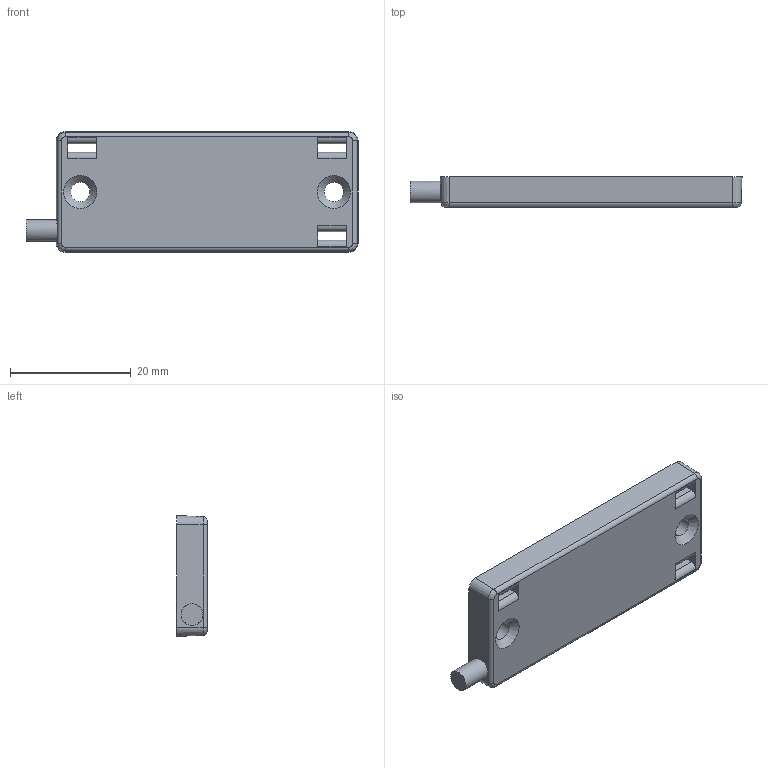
import cadquery as cq

BODY_LENGTH = 50.0
BODY_HEIGHT = 20.0
BODY_DEPTH = 5.0
DRAFT_ANGLE = 2.0
CORNER_RADIUS = 1.5
FRONT_FILLET = 0.7

HOLE_SPACING = 42.0
HOLE_DIAMETER = 3.2
SINK_DIAMETER = 5.5
SINK_ANGLE = 90.0

SLOT_WIDTH = 4.8
SLOT_HEIGHT = 1.45
SLOT_LIP_RADIUS = 1.0
SLOT_X = 20.7
SLOT_Z = 7.28
SLOT_CENTRES = [(-SLOT_X, SLOT_Z), (SLOT_X, SLOT_Z), (SLOT_X, -SLOT_Z)]

CABLE_DIAMETER = 3.6
CABLE_LENGTH = 5.0
CABLE_Y = BODY_DEPTH / 2
CABLE_Z = -6.4
CABLE_EMBED = 1.0


def make_body():
    """Drafted plate, largest at the back, with a rounded front rim."""
    back_outline = cq.Sketch().rect(BODY_LENGTH, BODY_HEIGHT).vertices().fillet(CORNER_RADIUS)
    plate = (
        cq.Workplane("XZ", origin=(0, BODY_DEPTH, 0))
        .placeSketch(back_outline)
        .extrude(BODY_DEPTH, taper=DRAFT_ANGLE)
    )
    return plate.faces("<Y").edges().fillet(FRONT_FILLET)


def cut_mounting_holes(body):
    """Countersunk through holes near both ends, on the centre line."""
    return (
        body.faces("<Y")
        .workplane(origin=(0, 0, 0))
        .pushPoints([(-HOLE_SPACING / 2, 0), (HOLE_SPACING / 2, 0)])
        .cskHole(HOLE_DIAMETER, SINK_DIAMETER, SINK_ANGLE)
    )


def make_slot_cutter(x, z):
    """Slot through the full depth whose mouth flares out along two arcs."""
    half = SLOT_HEIGHT / 2
    mouth_half = half + SLOT_LIP_RADIUS
    return (
        cq.Workplane("YZ", origin=(x - SLOT_WIDTH / 2, 0, z))
        .moveTo(0, -mouth_half)
        .radiusArc((SLOT_LIP_RADIUS, -half), SLOT_LIP_RADIUS)
        .lineTo(BODY_DEPTH, -half)
        .lineTo(BODY_DEPTH, half)
        .lineTo(SLOT_LIP_RADIUS, half)
        .radiusArc((0, mouth_half), SLOT_LIP_RADIUS)
        .close()
        .extrude(SLOT_WIDTH)
    )


def make_cable():
    """Round stub leaving the -X end, rooted inside the body."""
    return (
        cq.Workplane("YZ", origin=(-BODY_LENGTH / 2 - CABLE_LENGTH, CABLE_Y, CABLE_Z))
        .circle(CABLE_DIAMETER / 2)
        .extrude(CABLE_LENGTH + CABLE_EMBED)
    )


result = cut_mounting_holes(make_body())
for slot_x, slot_z in SLOT_CENTRES:
    result = result.cut(make_slot_cutter(slot_x, slot_z))
result = result.union(make_cable())